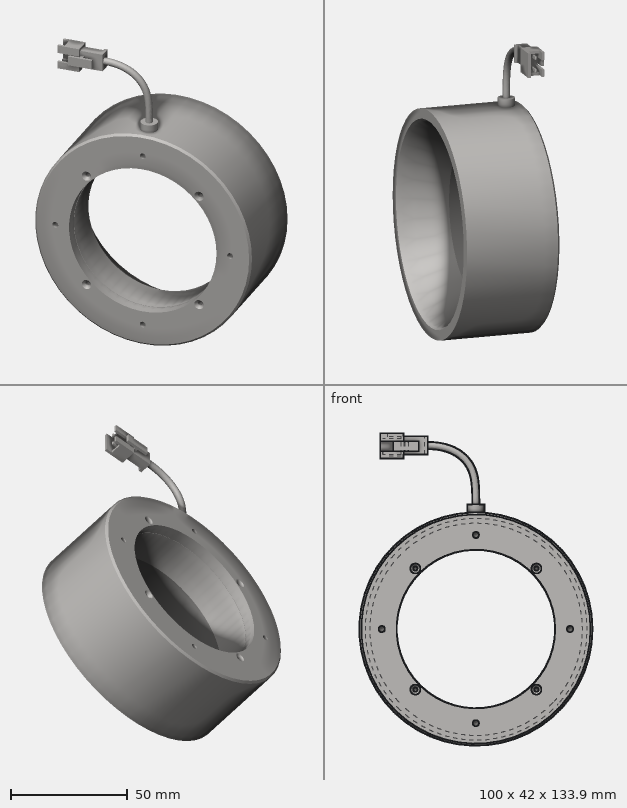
import cadquery as cq
import math


OVERALL_HEIGHT = 133.9

RING_DEPTH = 42.0
RING_DIAMETER = 100.0
RING_RADIUS = RING_DIAMETER / 2
BORE_RADIUS = 34.0
PLATE_THICKNESS = 5.4
EDGE_CHAMFER = 1.0

REFLECTOR_RADIUS = 47.5
REFLECTOR_BORE_RADIUS = 33.9
CONE_START = 22.0
CONE_MOUTH_RADIUS = 45.5

HOLE_COUNT = 4
HOLE_DEPTH = 4.0
DRILL_POINT_ANGLE = 118
TAPPED_HOLE_RADIUS = 1.3
TAPPED_CIRCLE_RADIUS = 40.3
SUNK_HOLE_RADIUS = 1.0
SUNK_CIRCLE_RADIUS = 36.7
SUNK_CIRCLE_START = 45
COUNTERSINK_RADIUS = 2.1

CABLE_Y = 7.5
CABLE_RADIUS = 1.6
GLAND_RADIUS = 3.7
GLAND_TOP = 53.4
CABLE_END_Z = 78.6
CABLE_BEND_X = -2.7
CABLE_BEND_Z = 70.2

SHELL_X = (-41.0, -30.9)
SHELL_Y = (4.0, 11.4)
SHELL_Z = (73.0, OVERALL_HEIGHT - RING_RADIUS)
SHELL_WALL = 1.2
CAVITY_FLOOR_X = -32.1
MOUTH_NOTCH_DEPTH = 3.0
BLOCK_X = (SHELL_X[1], -20.6)
BLOCK_Y = (5.2, 9.6)
BLOCK_Z = (74.7, 82.6)
COLLAR_LENGTH = 1.5
COLLAR_HEIGHT = 1.3
LATCH_X = (-35.5, -24.5)
LATCH_Y = (2.4, 3.6)
LATCH_Z = (76.2, 80.3)
STEM_X = (-30.5, -29.0)
PIN_LENGTH = 8.0
PIN_WIDTH = 0.8
PIN_HEIGHT = 1.3
PIN_POINT = 0.3
PIN_LEVELS = (75.5, 81.1)


def make_blind_hole(radius):
    """Drilled hole from Y = 0 along +Y, ending in a drill point."""
    tip_depth = HOLE_DEPTH + radius / math.tan(math.radians(DRILL_POINT_ANGLE / 2))
    outline = cq.Workplane("XY").polyline([(0, 0), (radius, 0), (radius, HOLE_DEPTH), (0, tip_depth)])
    return outline.close().revolve(360, (0, 0, 0), (0, 1, 0))


def make_countersink(radius):
    """Cone with a 90 degree angle, as deep as its radius."""
    outline = cq.Workplane("XY").polyline([(0, 0), (radius, 0), (0, radius)])
    return outline.close().revolve(360, (0, 0, 0), (0, 1, 0))


def cut_hole_circle(body, hole, circle_radius, start_angle):
    for index in range(HOLE_COUNT):
        angle = math.radians(start_angle + index * 360 / HOLE_COUNT)
        body = body.cut(hole.translate((circle_radius * math.cos(angle), 0, circle_radius * math.sin(angle))))
    return body


def make_housing():
    cup = (
        cq.Workplane("XY")
        .moveTo(BORE_RADIUS, 0)
        .lineTo(RING_RADIUS - EDGE_CHAMFER, 0)
        .lineTo(RING_RADIUS, EDGE_CHAMFER)
        .lineTo(RING_RADIUS, RING_DEPTH)
        .lineTo(REFLECTOR_RADIUS, RING_DEPTH)
        .lineTo(REFLECTOR_RADIUS, PLATE_THICKNESS)
        .lineTo(BORE_RADIUS, PLATE_THICKNESS)
        .close()
        .revolve(360, (0, 0, 0), (0, 1, 0))
    )
    tapped_hole = make_blind_hole(TAPPED_HOLE_RADIUS)
    sunk_hole = make_blind_hole(SUNK_HOLE_RADIUS).union(make_countersink(COUNTERSINK_RADIUS))
    cup = cut_hole_circle(cup, tapped_hole, TAPPED_CIRCLE_RADIUS, 0)
    return cut_hole_circle(cup, sunk_hole, SUNK_CIRCLE_RADIUS, SUNK_CIRCLE_START)


def make_reflector():
    """Ring with a straight bore that flares out to the open end."""
    return (
        cq.Workplane("XY")
        .moveTo(REFLECTOR_BORE_RADIUS, PLATE_THICKNESS)
        .lineTo(REFLECTOR_RADIUS, PLATE_THICKNESS)
        .lineTo(REFLECTOR_RADIUS, RING_DEPTH)
        .lineTo(CONE_MOUTH_RADIUS, RING_DEPTH)
        .lineTo(REFLECTOR_BORE_RADIUS, CONE_START)
        .close()
        .revolve(360, (0, 0, 0), (0, 1, 0))
    )


def make_gland():
    """Round boss whose underside is saddled onto the outer wall of the housing."""
    boss = cq.Workplane("XY").center(0, CABLE_Y).circle(GLAND_RADIUS).extrude(GLAND_TOP)
    ring_space = cq.Workplane("XZ").circle(RING_RADIUS).extrude(-RING_DEPTH)
    return boss.cut(ring_space)


def make_cable():
    """Round cable that rises from the gland and bends toward -X into the connector."""
    path = (
        cq.Workplane("XZ", origin=(0, CABLE_Y, 0))
        .moveTo(0, GLAND_TOP)
        .spline(
            [(CABLE_BEND_X, CABLE_BEND_Z), (BLOCK_X[1], CABLE_END_Z)],
            tangents=[(0, 1), (-1, 0)],
            includeCurrent=True,
        )
    )
    section = cq.Workplane("XY", origin=(0, CABLE_Y, GLAND_TOP)).circle(CABLE_RADIUS)
    return section.sweep(path)


def block(x_limits, y_limits, z_limits):
    """Box between the given limits."""
    size = (x_limits[1] - x_limits[0], y_limits[1] - y_limits[0], z_limits[1] - z_limits[0])
    corner = (x_limits[0], y_limits[0], z_limits[0])
    return cq.Workplane("XY").box(*size, centered=False).translate(corner)


def inset(limits, wall):
    return (limits[0] + wall, limits[1] - wall)


def make_shell():
    """Open box with notched top and bottom walls and a latch slot through its -Y wall."""
    mouth_x = SHELL_X[0]
    cavity_y = inset(SHELL_Y, SHELL_WALL)
    cavity = block((mouth_x, CAVITY_FLOOR_X), cavity_y, inset(SHELL_Z, SHELL_WALL))
    mouth_notch = block((mouth_x, mouth_x + MOUTH_NOTCH_DEPTH), cavity_y, SHELL_Z)
    latch_slot = block(SHELL_X, (SHELL_Y[0], cavity_y[0]), LATCH_Z)
    return block(SHELL_X, SHELL_Y, SHELL_Z).cut(cavity).cut(mouth_notch).cut(latch_slot)


def make_pin(level):
    """Contact with a tapered tip, standing on the floor of the shell."""
    pin_y = (CABLE_Y - PIN_WIDTH / 2, CABLE_Y + PIN_WIDTH / 2)
    pin_z = (level - PIN_HEIGHT / 2, level + PIN_HEIGHT / 2)
    pin = block((CAVITY_FLOOR_X - PIN_LENGTH, CAVITY_FLOOR_X), pin_y, pin_z)
    return pin.faces("<X").chamfer(PIN_POINT)


def make_connector():
    """Shell with two contacts, wire block with a rear collar, and a latch lever on a stem."""
    collar_x = (BLOCK_X[1] - COLLAR_LENGTH, BLOCK_X[1])
    collar_y = (BLOCK_Y[1], BLOCK_Y[1] + COLLAR_HEIGHT)
    connector = make_shell().union(block(BLOCK_X, BLOCK_Y, BLOCK_Z))
    connector = connector.union(block(collar_x, collar_y, BLOCK_Z))
    connector = connector.union(block(LATCH_X, LATCH_Y, LATCH_Z))
    connector = connector.union(block(STEM_X, (LATCH_Y[1], BLOCK_Y[0]), LATCH_Z))
    for level in PIN_LEVELS:
        connector = connector.union(make_pin(level))
    return connector


housing = make_housing()
reflector = make_reflector()
gland = make_gland()
cable = make_cable()
connector = make_connector()

result = cq.Compound.makeCompound(
    [body.solids().val() for body in (housing, reflector, gland, cable, connector)]
)